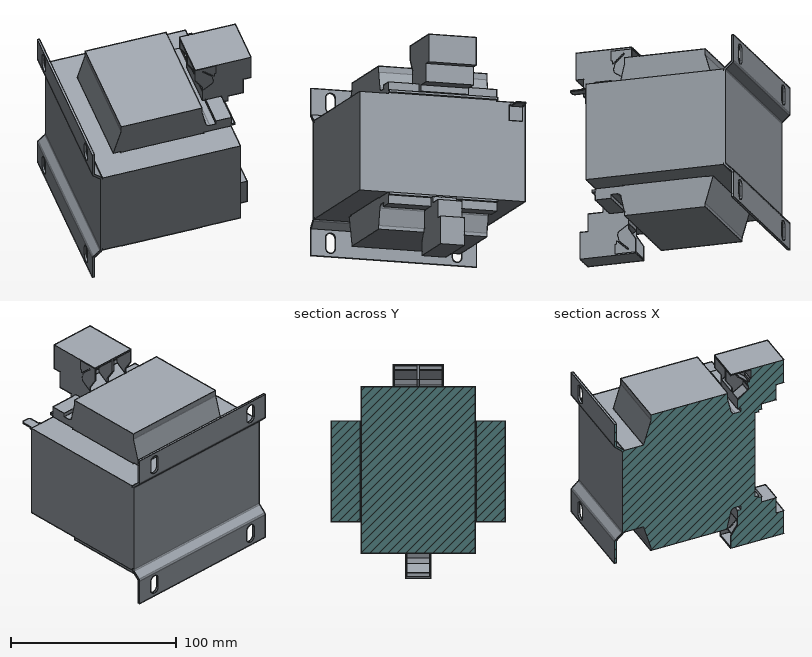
import cadquery as cq

WIDTH = 105.1
DEPTH = 113.3
HEIGHT = 128.8
TOP = HEIGHT / 2

CORE_FRONT = 6.6
CORE_BACK = 94.2
CORE_TOP = 30.4
WINDOW_WIDTH = 70.1
WINDOW_FRONT = 24.0
WINDOW_BACK = 76.8

SHEET = 1.4
BRACKET_TOP = 51.5
OUTER_BEND_Z = 34.5
INNER_BEND_Z = 29.9
OUTER_BEND_RADIUS = 1.7
INNER_BEND_RADIUS = 1.2
BEND_SHIFT = 0.6
SLOT_WIDTH = 6.2
SLOT_LENGTH = 12.4
SLOT_X = 40.2
SLOT_Z = 43.1

BOBBIN_WIDTH = 68.8
UPPER_COIL_TOP = 51.1
LOWER_COIL_TOP = 49.5
BOBBIN_SHOULDER = 47.3
BOBBIN_FRONT = 19.3
BOBBIN_TOP_FRONT = 24.3
BOBBIN_TOP_BACK = 75.7
BOBBIN_BACK = 94.4
GROOVE_FRONT = 78.6
GROOVE_BACK = 84.5
GROOVE_FLOOR = 35.0
GROOVE_RADIUS = 2.6
SHELF_TOP = 37.5
LIP_BACK = 96.6
LIP_BOTTOM = 30.9
LIP_TOP = 32.2

TERMINAL_WIDTH = 15.1
TERMINAL_WALL = 0.6
ROOF_BOTTOM = TOP - 1.0
TERMINAL_FRONT = 77.8
NOSE_BOTTOM = 55.3
TERMINAL_NECK = 82.3
NECK_TOP = 48.3
HOOK_BACK = 98.7
HOOK_TOP = 36.0
HEEL_BACK = 108.3
HEEL_TOP = 47.3

MOUTH_BACK = 91.0
MOUTH_STEP = 57.3
MOUTH_SEAT = [(90.2, 56.9), (90.2, 53.7)]
MOUTH_CORNER = (89.0, 49.5)
MOUTH_BOTTOM = 45.1
FLAP_TIP = [(82.5, 60.8), (83.1, 61.3)]
FLAP_BACK = [(90.2, 55.0), (90.2, 53.7)]
FLAP_FOOT = [(89.8, 52.2), (89.3, 52.2)]
FLAP_KNEE = (88.6, 55.4)

TAB_X = -46.5
TAB_WIDTH = 6.3
TAB_BASE_WIDTH = 8.2
TAB_TIP = 105.4
TAB_BASE_BACK = 97.4
TAB_CHAMFER = 1.0
TAB_TOP = 28.5
TAB_BOTTOM = 18.9
TAB_THICKNESS = 0.8


def box(x_range, y_range, z_range):
    """Box given by its limits along each axis."""
    size = [high - low for low, high in (x_range, y_range, z_range)]
    corner = cq.Vector(x_range[0], y_range[0], z_range[0])
    return cq.Workplane("XY").box(*size, centered=False).translate(corner)


def side_prism(points, width, x_center=0.0):
    """Extrude a (Y, Z) outline along X, centred on x_center."""
    return cq.Workplane("YZ", origin=(x_center - width / 2, 0, 0)).polyline(points).close().extrude(width)


def make_core():
    core = box((-WIDTH / 2, WIDTH / 2), (CORE_FRONT, CORE_BACK), (-CORE_TOP, CORE_TOP))
    window = box(
        (-WINDOW_WIDTH / 2, WINDOW_WIDTH / 2), (WINDOW_FRONT, WINDOW_BACK), (-CORE_TOP, CORE_TOP)
    )
    return core.cut(window)


def fillet_bends(sheet, y, z, radius):
    """Round the edges along X that pass through (y, z) and (y, -z)."""
    for side in (-1, 1):
        bend = cq.selectors.NearestToPointSelector((0, y, side * z))
        sheet = sheet.edges(bend).fillet(radius)
    return sheet


def make_bracket():
    web_front = CORE_FRONT - SHEET
    upper_outline = [
        (web_front, INNER_BEND_Z),
        (0, OUTER_BEND_Z),
        (0, BRACKET_TOP),
        (SHEET, BRACKET_TOP),
        (SHEET, OUTER_BEND_Z + BEND_SHIFT),
        (CORE_FRONT, INNER_BEND_Z + BEND_SHIFT),
    ]
    lower_outline = [(y, -z) for y, z in reversed(upper_outline)]
    bracket = side_prism(upper_outline + lower_outline, WIDTH)
    bracket = fillet_bends(bracket, 0, OUTER_BEND_Z, OUTER_BEND_RADIUS)
    bracket = fillet_bends(bracket, web_front, INNER_BEND_Z, INNER_BEND_RADIUS)
    bracket = fillet_bends(bracket, CORE_FRONT, INNER_BEND_Z + BEND_SHIFT, INNER_BEND_RADIUS + SHEET)
    slots = (
        cq.Workplane("XZ", origin=(0, SHEET, 0))
        .rarray(2 * SLOT_X, 2 * SLOT_Z, 2, 2)
        .slot2D(SLOT_LENGTH, SLOT_WIDTH, 90)
        .extrude(SHEET)
    )
    return bracket.cut(slots)


def make_half_bobbin(coil_top):
    """Half of the bobbin above the mid-plane, with its coil reaching up to coil_top."""
    outline = [
        (BOBBIN_FRONT, 0),
        (BOBBIN_FRONT, CORE_TOP),
        (BOBBIN_TOP_FRONT, BOBBIN_SHOULDER),
        (BOBBIN_TOP_FRONT, coil_top),
        (BOBBIN_TOP_BACK, coil_top),
        (BOBBIN_TOP_BACK, BOBBIN_SHOULDER),
        (GROOVE_FRONT, GROOVE_FLOOR),
        (GROOVE_BACK, GROOVE_FLOOR),
        (GROOVE_BACK, SHELF_TOP),
        (BOBBIN_BACK, SHELF_TOP),
        (BOBBIN_BACK, LIP_TOP),
        (LIP_BACK, LIP_TOP),
        (LIP_BACK, LIP_BOTTOM),
        (CORE_BACK, LIP_BOTTOM),
        (CORE_BACK, 0),
    ]
    half = side_prism(outline, BOBBIN_WIDTH)
    groove_corner = cq.selectors.NearestToPointSelector((0, GROOVE_FRONT, GROOVE_FLOOR))
    return half.edges(groove_corner).fillet(GROOVE_RADIUS)


def make_terminal(x_center):
    """Terminal block above the core, with a wire mouth between two thin side walls."""
    outline = [
        (TERMINAL_FRONT, TOP),
        (TERMINAL_FRONT, NOSE_BOTTOM),
        (TERMINAL_NECK, NECK_TOP),
        (TERMINAL_NECK, SHELF_TOP),
        (BOBBIN_BACK, SHELF_TOP),
        (BOBBIN_BACK, LIP_TOP),
        (HOOK_BACK, LIP_TOP),
        (HOOK_BACK, HOOK_TOP),
        (HEEL_BACK, HOOK_TOP),
        (HEEL_BACK, HEEL_TOP),
        (DEPTH, HEEL_TOP),
        (DEPTH, TOP),
    ]
    mouth = [
        (TERMINAL_FRONT, ROOF_BOTTOM),
        (MOUTH_BACK, ROOF_BOTTOM),
        (MOUTH_BACK, MOUTH_STEP),
        *MOUTH_SEAT,
        MOUTH_CORNER,
        (TERMINAL_NECK, MOUTH_BOTTOM),
        (TERMINAL_FRONT, MOUTH_BOTTOM),
    ]
    flap = [*FLAP_TIP, *FLAP_BACK, *FLAP_FOOT, FLAP_KNEE]
    block = side_prism(outline, TERMINAL_WIDTH, x_center)
    block = block.cut(side_prism(mouth, TERMINAL_WIDTH - 2 * TERMINAL_WALL, x_center))
    return block.union(side_prism(flap, TERMINAL_WIDTH, x_center))


def make_earth_tab():
    tab_bottom = TAB_TOP - TAB_THICKNESS

    def centred(width):
        return (TAB_X - width / 2, TAB_X + width / 2)

    blade = box(centred(TAB_WIDTH), (CORE_BACK, TAB_TIP), (tab_bottom, TAB_TOP))
    blade = blade.edges("|Z and >Y").chamfer(TAB_CHAMFER)
    base = box(centred(TAB_BASE_WIDTH), (CORE_BACK, TAB_BASE_BACK), (tab_bottom, TAB_TOP))
    foot = box(
        centred(TAB_BASE_WIDTH), (CORE_BACK, CORE_BACK + TAB_THICKNESS), (TAB_BOTTOM, TAB_TOP)
    )
    return blade.union(base).union(foot)


result = make_core().union(make_bracket()).union(make_earth_tab())
result = result.union(make_half_bobbin(UPPER_COIL_TOP))
result = result.union(make_half_bobbin(LOWER_COIL_TOP).mirror("XY"))
for terminal_x in (-TERMINAL_WIDTH / 2, TERMINAL_WIDTH / 2):
    result = result.union(make_terminal(terminal_x))
result = result.union(make_terminal(0).mirror("XY"))